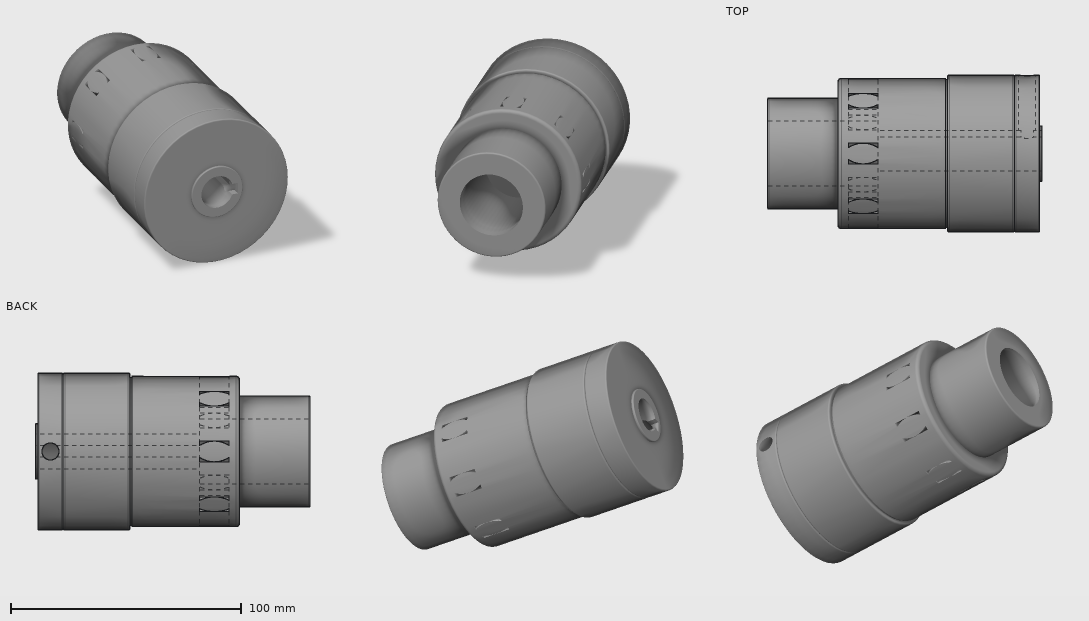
import cadquery as cq


total_length = 119.0
hub_radius = 24.0
hub_length = 30.6
body_radius = 32.6
body_end = 77.1
neck_radius = 32.1
sleeve_start = 78.1
sleeve_diameter = 68.0
sleeve_radius = sleeve_diameter / 2
clamp_start = 107.0
clamp_end = 117.9
end_boss_radius = 12.0

small_fillet = 0.7
body_fillet = 1.5
clamp_end_fillet = 0.6
end_boss_fillet = 0.4

hub_bore_radius = 14.0
shaft_bore_radius = 7.5
keyway_width = 5.0
keyway_top = 9.9
set_screw_radius = 3.7
set_screw_x = (clamp_start + clamp_end) / 2

tooth_count = 8
spider_start = 35.1
spider_end = 47.8
spider_core_radius = 19.0
slot_half_width = 4.5
crown_clearance = 0.06
tooth_crown_half_width = slot_half_width - crown_clearance
tooth_tip_half_width = 2.6


def stage(radius, start, end):
    """Cylinder on the shaft axis between two X positions."""
    return cq.Workplane("YZ", origin=(start, 0, 0)).circle(radius).extrude(end - start)


def outer_body():
    """Stepped cylinder, each stage rounded before the stages are joined."""
    hub = stage(hub_radius, 0, body_end).faces("<X").edges().fillet(small_fillet)
    body = stage(body_radius, hub_length, body_end).faces("<X").edges().fillet(body_fillet)
    neck = stage(neck_radius, body_end, sleeve_start)
    sleeve = stage(sleeve_radius, sleeve_start, clamp_start).edges().fillet(small_fillet)
    clamp_ring = stage(sleeve_radius, clamp_start, clamp_end)
    clamp_ring = clamp_ring.faces("<X").edges().fillet(small_fillet)
    clamp_ring = clamp_ring.faces(">X").edges().fillet(clamp_end_fillet)
    end_boss = stage(end_boss_radius, clamp_end, total_length).faces(">X").edges().fillet(end_boss_fillet)
    return hub.union(body).union(neck).union(sleeve).union(clamp_ring).union(end_boss)


def tooth_gap(side):
    """Radial gap between a slot wall and the crowned flank of the tooth on +Z."""
    middle = (spider_start + spider_end) / 2
    return (
        cq.Workplane("XY", origin=(0, 0, spider_core_radius))
        .moveTo(spider_start, side * slot_half_width)
        .lineTo(spider_start, side * tooth_tip_half_width)
        .threePointArc((middle, side * tooth_crown_half_width), (spider_end, side * tooth_tip_half_width))
        .lineTo(spider_end, side * slot_half_width)
        .close()
        .extrude(sleeve_radius - spider_core_radius)
    )


def shaft_bore():
    """Keyed bore from the spider to the far end, with the keyway on +Y."""
    bore = stage(shaft_bore_radius, spider_end, total_length)
    keyway = (
        cq.Workplane("XY")
        .box(total_length - spider_end, keyway_top, keyway_width, centered=(False, False, True))
        .translate((spider_end, 0, 0))
    )
    return bore.union(keyway)


def set_screw_hole():
    """Radial hole from the +Y side of the clamp ring into the keyway."""
    return (
        cq.Workplane("XZ", origin=(set_screw_x, 0, 0))
        .circle(set_screw_radius)
        .extrude(-sleeve_radius)
    )


result = outer_body()

for index in range(tooth_count):
    angle = index * 360 / tooth_count
    for side in (-1, 1):
        result = result.cut(tooth_gap(side).rotate((0, 0, 0), (1, 0, 0), angle))

result = result.cut(stage(hub_bore_radius, 0, spider_end))
result = result.cut(shaft_bore())
result = result.cut(set_screw_hole())